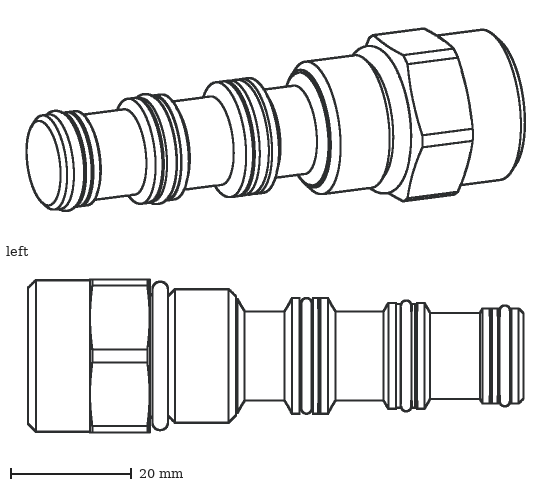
import cadquery as cq
import math


TOTAL_LENGTH = 82.2
NOSE_CHAMFER = 0.8
CAP_CHAMFER = 1.3
SHOULDER_SLOPE = math.tan(math.radians(30))

ACROSS_FLATS = 25.4
ACROSS_CORNERS = 28.2
HEX_START = 62.0
HEX_END = 71.9
HEX_CHAMFER_RUN = 0.4
CAP_RADIUS = 12.6

NECK_RADIUS = 9.7
NECK_TOP_RADIUS = 10.4
RIDGE_RADIUS = 12.3
RIDGE_CENTER = 60.25
RIDGE_WIDTH = 2.6

THREAD_RADIUS = 11.1
THREAD_START = 48.9
THREAD_END = 57.8
THREAD_CHAMFER = 1.2
COLLAR_RADIUS = 9.45
COLLAR_LENGTH = 0.25

UPPER_SHAFT_RADIUS = 7.4
LOWER_SHAFT_RADIUS = 7.15

NOSE_LAND_RADIUS = 7.9
NOSE_LAND_END = 6.8
MIDDLE_LAND_RADIUS = 8.8
MIDDLE_LAND_START = 16.4
MIDDLE_LAND_END = 22.4
UPPER_LAND_RADIUS = 9.6
UPPER_LAND_START = 32.5
UPPER_LAND_END = 38.4

CORD_DIAMETER = 1.7
NOSE_RING_RADIUS = 8.4
NOSE_RING_CENTER = 3.1
MIDDLE_RING_RADIUS = 9.2
MIDDLE_RING_CENTER = 19.5
UPPER_RING_RADIUS = 9.6
UPPER_RING_CENTER = 36.0

NOSE_GROOVE_START = 2.05
NOSE_GROOVE_END = 4.3
NOSE_SLIT_START = 5.3
NOSE_SLIT_END = 5.6
MIDDLE_GROOVE_START = 18.6
MIDDLE_GROOVE_END = 20.4
MIDDLE_SLIT_START = 17.7
MIDDLE_SLIT_END = 18.0
MIDDLE_COLLAR_RADIUS = 8.6
MIDDLE_COLLAR_END = 21.1
UPPER_GROOVE_START = 34.9
UPPER_GROOVE_END = 37.15
UPPER_SLIT_START = 33.7
UPPER_SLIT_END = 34.0


def revolve_outline(points):
    """Solid of revolution about Y from a closed outline of (radius, y) points."""
    return cq.Workplane("XY").polyline(points).close().revolve(360, (0, 0, 0), (0, 1, 0))


def annular_groove(start, end, floor_radius, land_radius):
    """Tool for a square groove that opens at the land surface."""
    return revolve_outline([
        (floor_radius, start),
        (land_radius + 0.8, start),
        (land_radius + 0.8, end),
        (floor_radius, end),
    ])


def ring_floor(ring_radius):
    """Inner radius of an O-ring, which is also the floor radius of its groove."""
    return ring_radius - CORD_DIAMETER


def shoulder_run(land_radius, shaft_radius):
    """Axial length of the conical shoulder between a land and the shaft."""
    return (land_radius - shaft_radius) * SHOULDER_SLOPE


def housing_core():
    """Turned shape of the housing, without hexagon, ridge and grooves."""
    thread_cone_start = THREAD_START - THREAD_CHAMFER
    collar_start = thread_cone_start - COLLAR_LENGTH
    nose_shoulder = shoulder_run(NOSE_LAND_RADIUS, LOWER_SHAFT_RADIUS)
    middle_lower_shoulder = shoulder_run(MIDDLE_LAND_RADIUS, LOWER_SHAFT_RADIUS)
    middle_upper_shoulder = shoulder_run(MIDDLE_LAND_RADIUS, UPPER_SHAFT_RADIUS)
    upper_shoulder = shoulder_run(UPPER_LAND_RADIUS, UPPER_SHAFT_RADIUS)
    collar_shoulder = shoulder_run(COLLAR_RADIUS, UPPER_SHAFT_RADIUS)
    return revolve_outline([
        (0, 0),
        (NOSE_LAND_RADIUS - NOSE_CHAMFER, 0),
        (NOSE_LAND_RADIUS, NOSE_CHAMFER),
        (NOSE_LAND_RADIUS, NOSE_LAND_END),
        (LOWER_SHAFT_RADIUS, NOSE_LAND_END + nose_shoulder),
        (LOWER_SHAFT_RADIUS, MIDDLE_LAND_START - middle_lower_shoulder),
        (MIDDLE_LAND_RADIUS, MIDDLE_LAND_START),
        (MIDDLE_LAND_RADIUS, MIDDLE_LAND_END),
        (UPPER_SHAFT_RADIUS, MIDDLE_LAND_END + middle_upper_shoulder),
        (UPPER_SHAFT_RADIUS, UPPER_LAND_START - upper_shoulder),
        (UPPER_LAND_RADIUS, UPPER_LAND_START),
        (UPPER_LAND_RADIUS, UPPER_LAND_END),
        (UPPER_SHAFT_RADIUS, UPPER_LAND_END + upper_shoulder),
        (UPPER_SHAFT_RADIUS, collar_start - collar_shoulder),
        (COLLAR_RADIUS, collar_start),
        (COLLAR_RADIUS, thread_cone_start),
        (THREAD_RADIUS - THREAD_CHAMFER, thread_cone_start),
        (THREAD_RADIUS, THREAD_START),
        (THREAD_RADIUS, THREAD_END),
        (NECK_RADIUS, THREAD_END + THREAD_RADIUS - NECK_RADIUS),
        (NECK_RADIUS, HEX_START - (NECK_TOP_RADIUS - NECK_RADIUS)),
        (NECK_TOP_RADIUS, HEX_START),
        (CAP_RADIUS, HEX_START),
        (CAP_RADIUS, TOTAL_LENGTH - CAP_CHAMFER),
        (CAP_RADIUS - CAP_CHAMFER, TOTAL_LENGTH),
        (0, TOTAL_LENGTH),
    ])


def hexagon():
    """Hexagon with corners along X, rounded and chamfered by a turned envelope."""
    corner_radius = ACROSS_CORNERS / 2
    prism = (
        cq.Workplane("XZ", origin=(0, HEX_START, 0))
        .polygon(6, ACROSS_FLATS / math.cos(math.pi / 6))
        .extrude(HEX_START - HEX_END)
    )
    envelope = revolve_outline([
        (0, HEX_START),
        (CAP_RADIUS, HEX_START),
        (corner_radius, HEX_START + HEX_CHAMFER_RUN),
        (corner_radius, HEX_END - HEX_CHAMFER_RUN),
        (CAP_RADIUS, HEX_END),
        (0, HEX_END),
    ])
    return prism.intersect(envelope)


def sealing_ridge():
    """Ridge around the neck with flat flanks and a semicircular crest."""
    half_width = RIDGE_WIDTH / 2
    flank_radius = RIDGE_RADIUS - half_width
    root_radius = NECK_RADIUS - half_width
    return (
        cq.Workplane("XY")
        .moveTo(root_radius, RIDGE_CENTER - half_width)
        .lineTo(flank_radius, RIDGE_CENTER - half_width)
        .threePointArc((RIDGE_RADIUS, RIDGE_CENTER), (flank_radius, RIDGE_CENTER + half_width))
        .lineTo(root_radius, RIDGE_CENTER + half_width)
        .close()
        .revolve(360, (0, 0, 0), (0, 1, 0))
    )


def make_housing():
    nose_floor = ring_floor(NOSE_RING_RADIUS)
    middle_floor = ring_floor(MIDDLE_RING_RADIUS)
    upper_floor = ring_floor(UPPER_RING_RADIUS)
    grooves = [
        (NOSE_GROOVE_START, NOSE_GROOVE_END, nose_floor, NOSE_LAND_RADIUS),
        (NOSE_SLIT_START, NOSE_SLIT_END, nose_floor, NOSE_LAND_RADIUS),
        (MIDDLE_SLIT_START, MIDDLE_COLLAR_END, MIDDLE_COLLAR_RADIUS, MIDDLE_LAND_RADIUS),
        (MIDDLE_SLIT_START, MIDDLE_SLIT_END, middle_floor, MIDDLE_LAND_RADIUS),
        (MIDDLE_GROOVE_START, MIDDLE_GROOVE_END, middle_floor, MIDDLE_LAND_RADIUS),
        (UPPER_SLIT_START, UPPER_SLIT_END, upper_floor, UPPER_LAND_RADIUS),
        (UPPER_GROOVE_START, UPPER_GROOVE_END, upper_floor, UPPER_LAND_RADIUS),
    ]
    body = housing_core().union(hexagon()).union(sealing_ridge())
    for start, end, floor_radius, land_radius in grooves:
        body = body.cut(annular_groove(start, end, floor_radius, land_radius))
    return body.solids()


def make_o_ring(center, outer_radius):
    """Round-cord ring about Y, centred at the given Y."""
    cord_radius = CORD_DIAMETER / 2
    return cq.Solid.makeTorus(
        outer_radius - cord_radius, cord_radius, cq.Vector(0, center, 0), cq.Vector(0, 1, 0)
    )


housing = make_housing()

o_rings = []
for ring_center, ring_radius in [
    (NOSE_RING_CENTER, NOSE_RING_RADIUS),
    (MIDDLE_RING_CENTER, MIDDLE_RING_RADIUS),
    (UPPER_RING_CENTER, UPPER_RING_RADIUS),
]:
    o_rings.append(make_o_ring(ring_center, ring_radius))

result = cq.Compound.makeCompound([housing.val(), *o_rings])